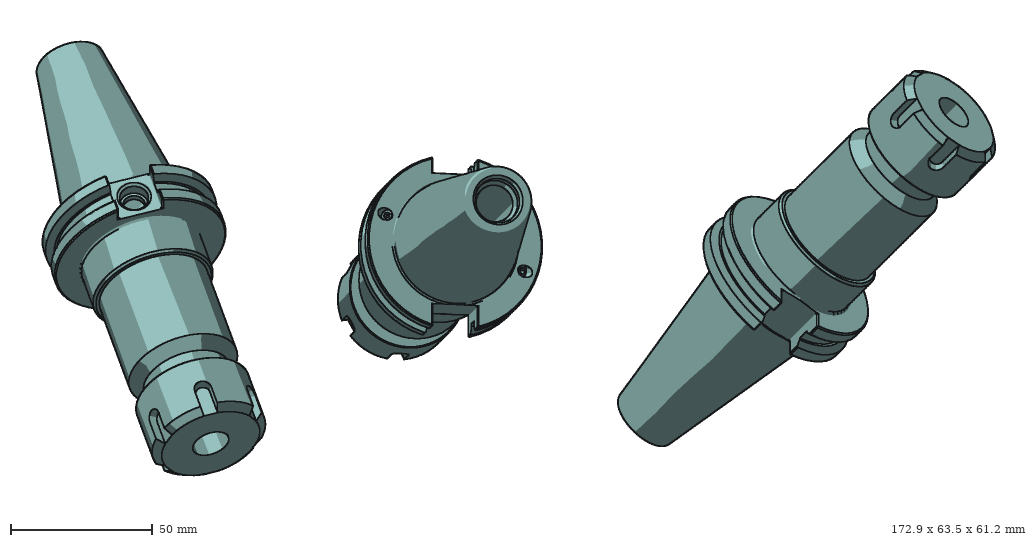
import cadquery as cq
import math


gauge_x = 68.3
gauge_dia = 44.5
taper_ratio = 7 / 24
shank_end_round = 1.4

flange_start = 71.4
flange_end = 87.3
flange_dia = 63.5
flange_edge_chamfer = 0.5
rear_root_fillet = 0.7
front_root_fillet = 1.0

groove_centre_x = 79.4
groove_top_width = 7.1
groove_bottom_width = 4.0
groove_depth = 3.6
groove_half_angle = 30

slot_width = 16.0
upper_slot_floor = 24.9
lower_slot_floor = 22.5
slot_edge_chamfer = 0.5
slot_floor_fillet = 0.5

slot_hole_mouth_dia = 12.1
slot_hole_dia = 10.2
slot_hole_depth = 5.2
slot_drill_dia = 8.0
slot_drill_depth = 7.5
drill_point_angle = 118

collar_end = 103.2
collar_end_chamfer = 0.9
barrel_dia = 40.3
barrel_end = 139.2
neck_start = 143.3
neck_dia = 32.0

bore_dia = 13.3
bore_mouth_dia = 18.0
pilot_dia = 16.0
pilot_start = 1.4
pilot_end = 4.7
bore_start = 6.0

nut_start = 150.5
nut_end = 172.9
nut_dia = 42.0
nut_back_chamfer = 0.3
nut_front_dia = 36.3
nut_front_chamfer_length = 2.5
spanner_slot_count = 6
spanner_slot_width = 6.2
spanner_slot_draft = 11
spanner_slot_start = 160.3
spanner_slot_floor = 18.0

screw_dia = 4.1
screw_length = 4.0
screw_recess = 1.2
screw_circle_radius = 27.0
screw_clock_angle = 20
screw_tilt = 40
screw_count = 2
socket_flats = 2.0
socket_depth = 1.7

cut_margin = 3.5


def tangent(degrees):
    return math.tan(math.radians(degrees))


def turned(points):
    """Solid of revolution about X from (x, radius) points."""
    return cq.Workplane("XY").polyline(points).close().revolve(360, (0, 0, 0), (1, 0, 0))


def rod(dia, start, end):
    """Cylinder along X between two stations."""
    return cq.Workplane("YZ", origin=(start, 0, 0)).circle(dia / 2).extrude(end - start)


def drive_slot(floor):
    """Cutter for one slot on the +Z side, with a filleted floor and chamfered outer corners."""
    height = flange_dia / 2 - floor + cut_margin
    length = flange_end - flange_start
    middle_x = (flange_start + flange_end) / 2
    base = cq.Workplane("XY", origin=(middle_x, 0, floor))
    block = base.box(length + 2 * cut_margin, slot_width, height, centered=(True, True, False))
    block = block.faces("<Z").edges("|X").fillet(slot_floor_fillet)
    half = slot_width / 2
    c = slot_edge_chamfer
    side_wedge = (
        cq.Workplane("XY")
        .polyline([(-c, -half - 2 * c), (-c, half + 2 * c), (c, half), (c, -half)])
        .close()
        .extrude(height)
    )
    block = block.union(side_wedge.translate((flange_start, 0, floor)))
    block = block.union(side_wedge.mirror("YZ").translate((flange_end, 0, floor)))
    corner_z = math.sqrt((flange_dia / 2) ** 2 - half ** 2)
    top_wedge = (
        cq.Workplane("YZ", origin=(flange_start, 0, 0))
        .polyline([
            (-half, corner_z - c),
            (half, corner_z - c),
            (half + 2 * c, corner_z + c),
            (-half - 2 * c, corner_z + c),
        ])
        .close()
        .extrude(length)
    )
    return block.union(top_wedge)


def make_flange():
    """V-grooved flange ring with a drive slot at the top and the bottom."""
    radius = flange_dia / 2
    c = flange_edge_chamfer
    half_top = groove_top_width / 2
    half_bottom = groove_bottom_width / 2
    wall_foot = radius - (half_top - half_bottom) / tangent(groove_half_angle)
    floor = radius - groove_depth
    flange = turned([
        (flange_start, 0),
        (flange_start, radius - c),
        (flange_start + c, radius),
        (groove_centre_x - half_top, radius),
        (groove_centre_x - half_bottom, wall_foot),
        (groove_centre_x - half_bottom, floor),
        (groove_centre_x + half_bottom, floor),
        (groove_centre_x + half_bottom, wall_foot),
        (groove_centre_x + half_top, radius),
        (flange_end - c, radius),
        (flange_end, radius - c),
        (flange_end, 0),
    ])
    flange = flange.cut(drive_slot(upper_slot_floor))
    return flange.cut(drive_slot(lower_slot_floor).rotate((0, 0, 0), (1, 0, 0), 180))


def make_shank_and_front():
    """Everything turned on the holder except the flange ring."""
    gauge_radius = gauge_dia / 2
    small_end_radius = gauge_radius - gauge_x * taper_ratio / 2
    shank = turned([
        (0, 0),
        (0, small_end_radius),
        (gauge_x, gauge_radius),
        (flange_start, gauge_radius),
        (flange_start, 0),
    ]).faces("<X").edges().fillet(shank_end_round)
    front = turned([
        (flange_start, 0),
        (flange_start, gauge_radius),
        (collar_end - collar_end_chamfer, gauge_radius),
        (collar_end, gauge_radius - collar_end_chamfer),
        (collar_end, barrel_dia / 2),
        (barrel_end, barrel_dia / 2),
        (neck_start, neck_dia / 2),
        (spanner_slot_start, neck_dia / 2),
        (spanner_slot_start, 0),
    ])
    return shank.union(front)


def root_fillet_ring(face_x, outward, r):
    """Concave fillet ring where a flange face meets the cylinder beside it."""
    inner = gauge_dia / 2
    toe_x = face_x + outward * r
    arc_shift = r * (1 - math.sqrt(0.5))
    profile = (
        cq.Workplane("XY")
        .moveTo(face_x, inner - r)
        .lineTo(face_x, inner + r)
        .threePointArc((face_x + outward * arc_shift, inner + arc_shift), (toe_x, inner))
        .lineTo(toe_x, inner - r)
        .close()
    )
    ring = profile.revolve(360, (0, 0, 0), (1, 0, 0))
    trim = cq.Workplane("XY").box(2 * nut_end, flange_dia, flange_dia, centered=(True, True, False))
    return ring.intersect(trim.translate((0, 0, -lower_slot_floor)))


def holder_bore():
    """Stepped entry at the small end, then a straight bore."""
    return turned([
        (0, 0),
        (0, bore_mouth_dia / 2),
        (pilot_start, pilot_dia / 2),
        (pilot_end, pilot_dia / 2),
        (bore_start, bore_dia / 2),
        (nut_end, bore_dia / 2),
        (nut_end, 0),
    ])


def slot_floor_hole():
    """Chamfered, stepped blind hole with a drill point, sunk from the upper slot floor."""
    mouth_chamfer = (slot_hole_mouth_dia - slot_hole_dia) / 2
    point_length = slot_drill_dia / 2 / tangent(drill_point_angle / 2)
    profile = [
        (0, 0),
        (slot_hole_mouth_dia / 2, 0),
        (slot_hole_dia / 2, -mouth_chamfer),
        (slot_hole_dia / 2, -slot_hole_depth),
        (slot_drill_dia / 2, -slot_hole_depth),
        (slot_drill_dia / 2, -slot_drill_depth),
        (0, -slot_drill_depth - point_length),
    ]
    hole = cq.Workplane("XZ").polyline(profile).close().revolve(360, (0, 0, 0), (0, 1, 0))
    return hole.translate((groove_centre_x, 0, upper_slot_floor))


def place_on_flange(tool, index):
    """Move a shape built along +X at the origin onto one tilted screw axis."""
    clock = screw_clock_angle + index * 360 / screw_count
    tilted = tool.rotate((0, 0, 0), (0, 0, 1), -screw_tilt)
    seated = tilted.translate((flange_start, screw_circle_radius, 0))
    return seated.rotate((0, 0, 0), (1, 0, 0), clock)


def make_set_screw(index):
    screw = rod(screw_dia, screw_recess, screw_recess + screw_length)
    socket = (
        cq.Workplane("YZ", origin=(screw_recess, 0, 0))
        .polygon(6, socket_flats, circumscribed=True)
        .extrude(socket_depth)
    )
    return place_on_flange(screw.cut(socket), index)


def make_holder():
    holder = make_shank_and_front().union(make_flange())
    holder = holder.union(root_fillet_ring(flange_start, -1, rear_root_fillet))
    holder = holder.union(root_fillet_ring(flange_end, 1, front_root_fillet))
    holder = holder.cut(holder_bore()).cut(slot_floor_hole())
    for index in range(screw_count):
        screw_hole = rod(screw_dia, -cut_margin, screw_recess + screw_length)
        holder = holder.cut(place_on_flange(screw_hole, index))
    return holder


def spanner_slot():
    """Drafted slot along the nut, with a round closed end, open at the front face."""
    half_width = spanner_slot_width / 2
    end_centre_x = spanner_slot_start + half_width
    open_end_x = nut_end + cut_margin
    return (
        cq.Workplane("XY", origin=(0, 0, nut_dia / 2))
        .moveTo(open_end_x, half_width)
        .lineTo(end_centre_x, half_width)
        .threePointArc((spanner_slot_start, 0), (end_centre_x, -half_width))
        .lineTo(open_end_x, -half_width)
        .close()
        .extrude(spanner_slot_floor - nut_dia / 2, taper=spanner_slot_draft)
    )


def make_nut():
    """Clamping nut that caps the holder nose."""
    radius = nut_dia / 2
    nut = turned([
        (nut_start, 0),
        (nut_start, radius - nut_back_chamfer),
        (nut_start + nut_back_chamfer, radius),
        (nut_end - nut_front_chamfer_length, radius),
        (nut_end, nut_front_dia / 2),
        (nut_end, 0),
    ])
    nut = nut.cut(rod(neck_dia, nut_start, spanner_slot_start))
    nut = nut.cut(rod(bore_dia, nut_start, nut_end))
    for index in range(spanner_slot_count):
        angle = index * 360 / spanner_slot_count
        nut = nut.cut(spanner_slot().rotate((0, 0, 0), (1, 0, 0), angle))
    return nut


holder = make_holder()
nut = make_nut()
set_screws = [make_set_screw(index) for index in range(screw_count)]

result = cq.Compound.makeCompound([holder.val(), nut.val(), *[screw.val() for screw in set_screws]])